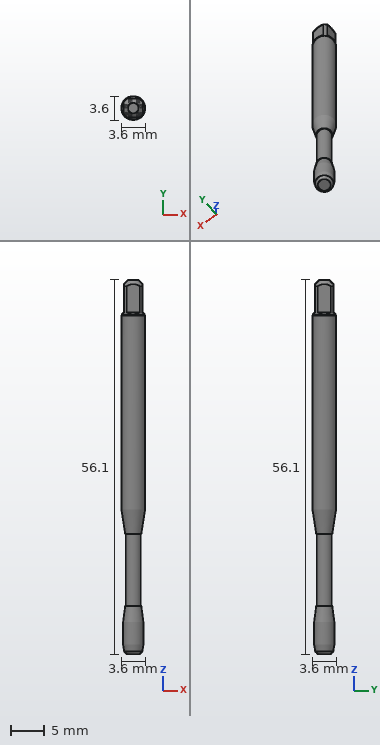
import cadquery as cq

total_length = 56.1

head_diameter = 3.1
lead_diameter = 2.75
tip_diameter = 1.9
lead_start_z = 0.45
head_start_z = 1.45
head_end_z = 4.8
head_top_z = 7.3

neck_diameter = 2.3
shoulder_diameter = 2.45
neck_chamfer = (shoulder_diameter - neck_diameter) / 2
shank_diameter = 3.6
neck_top_z = 18.0
shank_start_z = 21.7
shank_end_z = 50.75
flat_cut_z = 50.9

square_size = 2.8
square_corner_diameter = 3.4
top_diameter = 1.55
collar_chamfer = (shank_diameter - square_corner_diameter) / 2
top_chamfer = (square_corner_diameter - top_diameter) / 2
flat_runout = (shank_diameter - square_size) / 2


def turned_body(stations):
    """Revolve a solid about Z from (diameter, z) stations listed upwards."""
    outline = [(diameter / 2, z) for diameter, z in stations]
    bottom_z = stations[0][1]
    top_z = stations[-1][1]
    points = [(0, bottom_z)] + outline + [(0, top_z)]
    return cq.Workplane("XZ").polyline(points).close().revolve(360, (0, 0, 0), (0, 1, 0))


def flat_cutter(angle):
    """Make the slope-ended cutter for one flat of the driving square."""
    inner = square_size / 2
    outer = shank_diameter / 2
    profile = [
        (inner, total_length),
        (inner, flat_cut_z + flat_runout),
        (outer, flat_cut_z),
        (shank_diameter, flat_cut_z),
        (shank_diameter, total_length),
    ]
    cutter = cq.Workplane("XZ").polyline(profile).close().extrude(outer, both=True)
    return cutter.rotate((0, 0, 0), (0, 0, 1), angle)


def make_head():
    """Threading head with a lead cone and a tapered back."""
    return turned_body([
        (tip_diameter, 0),
        (lead_diameter, lead_start_z),
        (head_diameter, head_start_z),
        (head_diameter, head_end_z),
        (shoulder_diameter, head_top_z - neck_chamfer),
        (neck_diameter, head_top_z),
    ])


def make_shank():
    """Neck, tapered shoulder and shank ending in the driving square."""
    shank = turned_body([
        (neck_diameter, head_top_z),
        (neck_diameter, neck_top_z),
        (shoulder_diameter, neck_top_z + neck_chamfer),
        (shank_diameter, shank_start_z),
        (shank_diameter, shank_end_z),
        (square_corner_diameter, shank_end_z + collar_chamfer),
        (square_corner_diameter, total_length - top_chamfer),
        (top_diameter, total_length),
    ])
    for angle in (0, 90, 180, 270):
        shank = shank.cut(flat_cutter(angle))
    return shank


head = make_head()
shank = make_shank()

result = cq.Compound.makeCompound([head.val(), shank.val()])